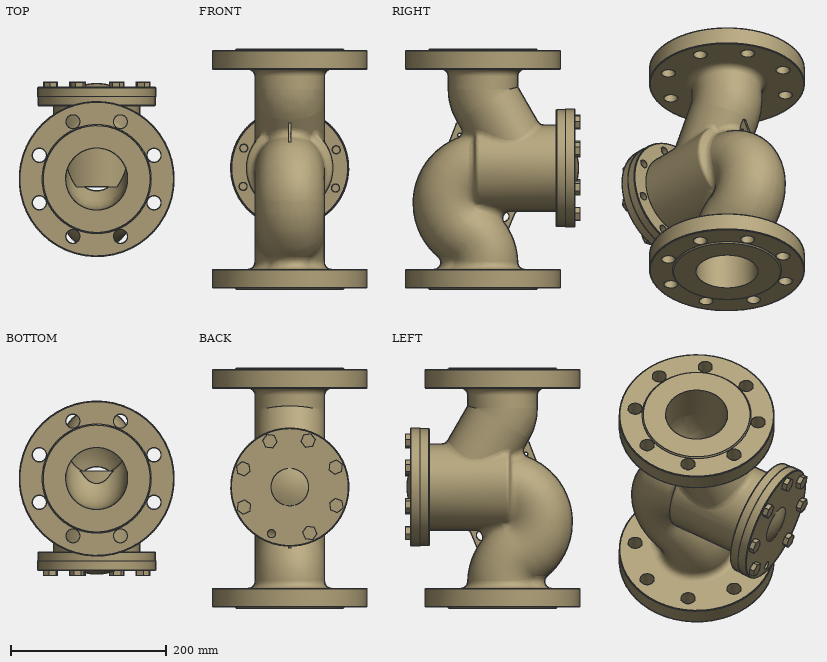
import cadquery as cq
import math

face_to_face = 310.0
half_height = face_to_face / 2

flange_diameter = 200.0
flange_thickness = 24.2
flange_chamfer = 1.0
raised_face_height = 2.0
raised_face_base_diameter = 140.7
raised_face_top_diameter = 137.5
flange_bolt_circle = 160.0
flange_hole_diameter = 18.0
bolt_count = 8
half_pitch_angle = 360 / bolt_count / 2
flange_back = half_height - raised_face_height - flange_thickness

pipe_diameter = 90.0
bore_diameter = 80.0
bend_radius = 45.3
upper_bend_radius = 34.0
tilt_angle = 30.0
upper_bend_z = 103.2
cast_fillet = 9.0

branch_z = 1.5
branch_diameter = 111.5
branch_end_y = -10.0
branch_end_fillet = 5.0
branch_flange_diameter = 151.3
branch_flange_thickness = 12.0

cover_diameter = 152.5
cover_thickness = 12.0
cover_chamfer = 1.0
cover_dome_radius = 24.2
cover_dome_height = 5.0
cover_bolt_circle = 129.0
cover_bolt_turn = 1.0
shank_diameter = 10.0
shank_hole_diameter = 10.5
head_across_flats = 16.0
head_height = 6.5
overall_depth = 225.0
head_top_y = overall_depth - flange_diameter / 2
cover_face_y = head_top_y - head_height
joint_y = cover_face_y - cover_thickness
branch_flange_back_y = joint_y - branch_flange_thickness
empty_place = bolt_count - 2
fitted_places = [place for place in range(bolt_count) if place != empty_place]

rib_thickness = 3.0
upper_rib_hole_diameter = 5.0
lower_rib_hole_diameter = 13.0

cos_tilt = math.cos(math.radians(tilt_angle))
sin_tilt = math.sin(math.radians(tilt_angle))
middle_bend_z = branch_z - bend_radius
lower_bend_y = -2 * bend_radius * sin_tilt
lower_bend_z = middle_bend_z - 2 * bend_radius * cos_tilt


def rod(diameter, start, end):
    """Cylinder between two points."""
    axis = cq.Vector(*end) - cq.Vector(*start)
    return cq.Workplane(cq.Solid.makeCylinder(diameter / 2, axis.Length, cq.Vector(*start), axis))


def branch_rod(diameter, start_y, end_y):
    """Cylinder on the branch axis."""
    return rod(diameter, (0, start_y, branch_z), (0, end_y, branch_z))


def bend(diameter, radius, centre_y, centre_z, start_angle, sweep):
    """Pipe bend about an X-parallel axis; angles in the YZ plane, counted from +Y towards +Z.

    A bend tighter than the pipe keeps only the part of the section outside the bend axis.
    """
    pipe_radius = diameter / 2
    section = cq.Workplane("XY", origin=(0, centre_y, centre_z))
    if radius > pipe_radius:
        section = section.center(0, radius).circle(pipe_radius).center(0, -radius)
    else:
        half_chord = math.sqrt(pipe_radius**2 - radius**2)
        section = section.moveTo(-half_chord, 0).threePointArc((0, radius + pipe_radius), (half_chord, 0)).close()
    solid = section.revolve(sweep, (0, 0), (1, 0))
    return solid.rotate((0, centre_y, centre_z), (1, centre_y, centre_z), start_angle)


def passage(diameter):
    """Flow path of one diameter: neck, upper bend, tilted run, lower bends and foot."""
    run_start = (0, upper_bend_radius * (1 - cos_tilt), upper_bend_z - upper_bend_radius * sin_tilt)
    run_length = (run_start[2] - branch_z) / cos_tilt
    run_end = (0, run_start[1] + run_length * sin_tilt, branch_z)
    neck = rod(diameter, (0, 0, upper_bend_z), (0, 0, half_height)).rotate((0, 0, 0), (0, 0, 1), 90)
    foot = rod(diameter, (0, 0, -half_height), (0, 0, lower_bend_z))
    upper = bend(diameter, upper_bend_radius, upper_bend_radius, upper_bend_z, 180, tilt_angle)
    middle = bend(diameter, bend_radius, 0, middle_bend_z, 90, 180 - tilt_angle)
    lower = bend(diameter, bend_radius, lower_bend_y, lower_bend_z, 0, 90 - tilt_angle)
    run = rod(diameter, run_start, run_end)
    return neck, upper, run, middle, lower, foot


def pipe_flange(side):
    """Round flange with a tapered raised face; side is 1 at the top and -1 at the bottom."""
    plate = (
        cq.Workplane("XY", origin=(0, 0, flange_back))
        .circle(flange_diameter / 2)
        .extrude(flange_thickness)
        .edges()
        .chamfer(flange_chamfer)
    )
    raised_face = cq.Workplane(
        cq.Solid.makeCone(
            raised_face_base_diameter / 2,
            raised_face_top_diameter / 2,
            raised_face_height,
            cq.Vector(0, 0, half_height - raised_face_height),
        )
    )
    flange = plate.union(raised_face)
    return flange if side > 0 else flange.mirror("XY")


def pipe_flange_holes():
    """Bolt holes through both pipe flanges."""
    return (
        cq.Workplane("XY", origin=(0, 0, -half_height))
        .polarArray(flange_bolt_circle / 2, half_pitch_angle, 360, bolt_count)
        .circle(flange_hole_diameter / 2)
        .extrude(face_to_face)
        .cut(cq.Workplane("XY").box(face_to_face, face_to_face, 2 * flange_back))
    )


def bolt_angle(place):
    """Angle of one cover bolt on its circle, in degrees."""
    return half_pitch_angle - cover_bolt_turn + place * 360 / bolt_count


def bolt_place(place):
    """X and Z of one cover bolt."""
    angle = math.radians(bolt_angle(place))
    radius = cover_bolt_circle / 2
    return radius * math.cos(angle), branch_z + radius * math.sin(angle)


def cover_bolt_holes():
    """Clearance holes through the cover and the branch flange."""
    holes = cq.Workplane("XY")
    for place in range(bolt_count):
        x, z = bolt_place(place)
        holes = holes.add(rod(shank_hole_diameter, (x, branch_flange_back_y, z), (x, cover_face_y, z)))
    return holes.combine()


def upper_rib():
    """Thin rib with a small hole, in the notch between the upper and the middle bend."""
    return (
        cq.Workplane("YZ", origin=(-rib_thickness / 2, 0, 0))
        .polyline([(-34, 59.8), (-43.7, 34.7), (-15.5, 28), (-15.5, 59.8)])
        .close()
        .moveTo(-30.0, 44.0)
        .circle(upper_rib_hole_diameter / 2)
        .extrude(rib_thickness)
    )


def lower_rib():
    """Thin rib with a hole, between the underside of the chamber and the lower bend."""
    return (
        cq.Workplane("YZ", origin=(-rib_thickness / 2, 0, 0))
        .moveTo(15.5, -52.7)
        .lineTo(45.5, -52.7)
        .lineTo(45.5, -54.0)
        .threePointArc((42.2, -55.5), (40.3, -59))
        .lineTo(32.2, -78.0)
        .lineTo(15.5, -78.0)
        .close()
        .moveTo(27.0, -60.8)
        .circle(lower_rib_hole_diameter / 2)
        .extrude(rib_thickness)
    )


def chamber():
    """Branch chamber as a solid cylinder with a rounded closed end."""
    body = branch_rod(branch_diameter, branch_end_y, branch_flange_back_y)
    return body.faces("<Y").edges().fillet(branch_end_fillet)


def flange_root(side):
    """Selector for the circle where the pipe meets the back of a pipe flange."""
    reach = pipe_diameter / 2 + 3
    z = side * flange_back
    return cq.selectors.BoxSelector((-reach, -reach, z - 3), (reach, reach, z + 3), boundingbox=True)


def outer_shell():
    """Outside shape of the cast body with its fillets, before the flow path is opened."""
    neck, upper, run, middle, lower, foot = passage(pipe_diameter)
    upper_pipe = run.union(upper.union(neck))
    lower_pipe = middle.union(lower.union(foot))
    shell = chamber().union(upper_pipe).union(lower_pipe)
    shell = shell.union(pipe_flange(1)).union(pipe_flange(-1))
    junctions = shell.edges("%BSPLINE")
    junctions = junctions.add(shell.edges(flange_root(1))).add(shell.edges(flange_root(-1)))
    return junctions.fillet(cast_fillet)


def make_housing():
    """Valve body: flanged S-shaped pipe with a flanged branch chamber and two ribs."""
    branch_flange = branch_rod(branch_flange_diameter, branch_flange_back_y, joint_y)
    housing = outer_shell().union(upper_rib()).union(lower_rib())
    housing = housing.union(branch_flange.faces("<Y").edges().chamfer(cover_chamfer))
    chamber_core = branch_rod(branch_diameter, branch_end_y, joint_y)
    for stretch in passage(bore_diameter):
        housing = housing.cut(stretch.cut(chamber_core))
    return housing.cut(pipe_flange_holes()).cut(cover_bolt_holes())


def make_cover():
    """Round cover with a shallow dome in the middle."""
    cover = branch_rod(cover_diameter, joint_y, cover_face_y).edges(">Y").chamfer(cover_chamfer)
    dome_sphere_radius = (cover_dome_radius**2 + cover_dome_height**2) / (2 * cover_dome_height)
    dome_centre_y = cover_face_y + cover_dome_height - dome_sphere_radius
    sphere = cq.Workplane("XY", origin=(0, dome_centre_y, branch_z)).sphere(dome_sphere_radius)
    dome = sphere.intersect(branch_rod(2 * cover_dome_radius + 3, cover_face_y - 3, head_top_y))
    return cover.union(dome).cut(cover_bolt_holes())


def make_bolt(place):
    """Hexagon-headed bolt whose shank fills the cover's thickness."""
    x, z = bolt_place(place)
    shank = rod(shank_diameter, (x, joint_y, z), (x, cover_face_y, z))
    head = (
        cq.Workplane("XZ", origin=(x, cover_face_y, z))
        .polygon(6, head_across_flats / math.cos(math.pi / 6))
        .extrude(-head_height)
    )
    return head.rotate((x, 0, z), (x, 1, z), -bolt_angle(place)).union(shank)


housing = make_housing()
cover = make_cover()
bolts = [make_bolt(place) for place in fitted_places]

result = cq.Compound.makeCompound([housing.val(), cover.val(), *[bolt.val() for bolt in bolts]])